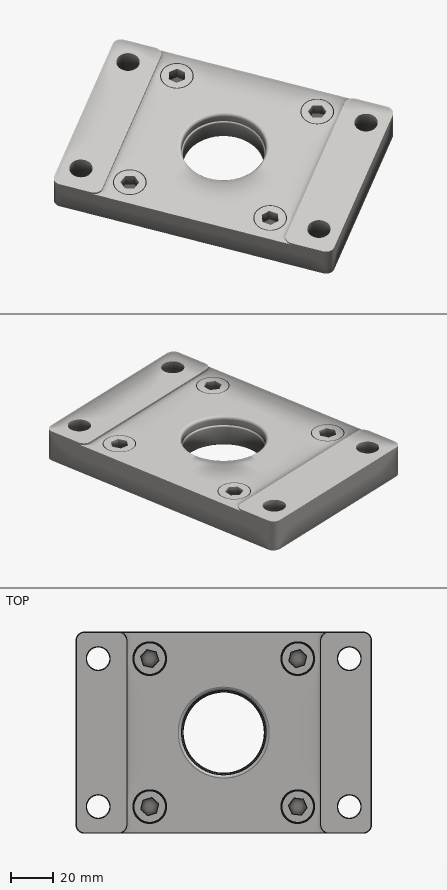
import cadquery as cq
import math

LENGTH = 139.8
WIDTH = 95.2
HEIGHT = 16.0
CORNER_RADIUS = 4.0

PAD_LENGTH = 24.0
PAD_HEIGHT = 1.0
FLOOR_Z = HEIGHT - PAD_HEIGHT

MOUNT_DIAMETER = 11.0
MOUNT_SPACING_X = 118.8
SCREW_SPACING = 70.0

BORE_DIAMETER = 38.5
SEAT_DIAMETER = 40.0
SEAT_DEPTH = 4.5
MOUTH_ROUND = 1.5
LAND_ROUND = (SEAT_DIAMETER - BORE_DIAMETER) / 2

COUNTERBORE_DIAMETER = 16.0
HEAD_DIAMETER = 15.0
GAP_DEPTH = 8.0
HEX_ACROSS_CORNERS = 8.8
HEX_DEPTH = 6.0
HEX_TURNS = {(-1, -1): 17, (-1, 1): 47, (1, -1): 53, (1, 1): 17}


def make_plate():
    """Base plate with a raised, fully rounded-corner pad at each end."""
    plate = cq.Workplane("XY").box(LENGTH, WIDTH, FLOOR_Z, centered=(True, True, False))
    plate = plate.edges("|Z").fillet(CORNER_RADIUS)
    pads = (
        cq.Workplane("XY")
        .workplane(offset=FLOOR_Z)
        .rarray(LENGTH - PAD_LENGTH, 1.4, 2, 1)
        .rect(PAD_LENGTH, WIDTH)
        .extrude(PAD_HEIGHT)
        .edges("|Z")
        .fillet(CORNER_RADIUS)
    )
    return plate.union(pads)


def make_mount_holes():
    """Four through holes in the pads."""
    return (
        cq.Workplane("XY")
        .rarray(MOUNT_SPACING_X, SCREW_SPACING, 2, 2)
        .circle(MOUNT_DIAMETER / 2)
        .extrude(HEIGHT)
    )


def make_bore():
    """Through bore with a wider seat, a rounded mouth and rounded edges on the narrow land."""
    bore_radius = BORE_DIAMETER / 2
    seat_radius = SEAT_DIAMETER / 2
    seat_z = FLOOR_Z - SEAT_DEPTH
    mouth_start_z = FLOOR_Z - MOUTH_ROUND
    mid_offset = 1 - math.sqrt(0.5)
    land_mid = bore_radius + mid_offset * LAND_ROUND
    mouth_mid = (seat_radius + mid_offset * MOUTH_ROUND, FLOOR_Z - mid_offset * MOUTH_ROUND)
    return (
        cq.Workplane("XZ")
        .lineTo(seat_radius, 0)
        .threePointArc((land_mid, mid_offset * LAND_ROUND), (bore_radius, LAND_ROUND))
        .lineTo(bore_radius, seat_z - LAND_ROUND)
        .threePointArc((land_mid, seat_z - mid_offset * LAND_ROUND), (seat_radius, seat_z))
        .lineTo(seat_radius, mouth_start_z)
        .threePointArc(mouth_mid, (seat_radius + MOUTH_ROUND, FLOOR_Z))
        .lineTo(0, FLOOR_Z)
        .close()
        .revolve(360, (0, 0, 0), (0, 1, 0))
    )


def make_screw_cut(x_side, y_side, hex_turn):
    """Ring gap around one screw head and the hexagon socket inside it."""
    floor = cq.Workplane("XY").workplane(offset=FLOOR_Z)
    gap = floor.circle(COUNTERBORE_DIAMETER / 2).circle(HEAD_DIAMETER / 2).extrude(-GAP_DEPTH)
    turned_floor = floor.transformed(rotate=(0, 0, hex_turn))
    socket = turned_floor.polygon(6, HEX_ACROSS_CORNERS).extrude(-HEX_DEPTH)
    return gap.union(socket).translate((x_side * SCREW_SPACING / 2, y_side * SCREW_SPACING / 2, 0))


result = make_plate().cut(make_mount_holes()).cut(make_bore())
for (x_side, y_side), hex_turn in HEX_TURNS.items():
    result = result.cut(make_screw_cut(x_side, y_side, hex_turn))